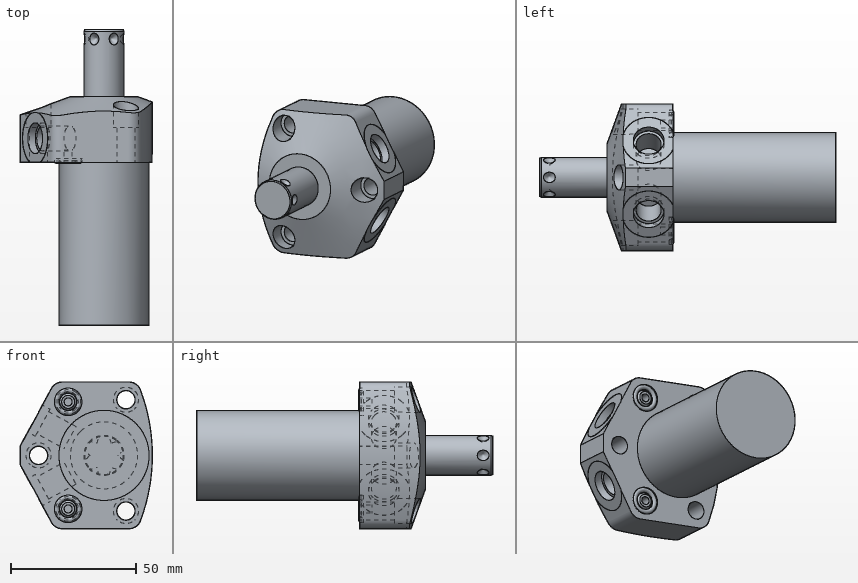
import cadquery as cq
import math


BODY_DIA = 36.0
BODY_LENGTH = 65.0
ROD_DIA = 16.0
ROD_LENGTH = 26.81
ROD_BEVEL_LENGTH = 0.8
ROD_BEVEL_HEIGHT = 0.35

DIMPLE_COUNT = 6
DIMPLE_RADIUS = 2.35
DIMPLE_FROM_TIP = 3.85

FLANGE_THICKNESS = 26.3
FLANGE_HEIGHT = 58.6
NOSE_X = -33.5
NOSE_FLAT_HEIGHT = 7.44
SHOULDER_X = -19.6
BACK_X = 19.33
BACK_ARC_RADIUS = 74.0
CORNER_RADIUS = 5.0

CROWN_RADIUS = 13.4
CROWN_SLOPE = math.radians(20)

MOUNT_HOLE_DIA = 7.2
MOUNT_COUNTERBORE_DIA = 10.0
MOUNT_COUNTERBORE_FLOOR_Y = 14.0
MOUNT_HOLE_CENTERS = [(-26.1, 0), (8.75, 22.2), (8.75, -22.2)]

PORT_Y = 9.65
PORT_Z = 14.7
PORT_SPOTFACE_DIA = 21.0
PORT_SPOTFACE_DEPTH = 0.1
PORT_COUNTERBORE_DIA = 12.3
PORT_COUNTERBORE_DEPTH = 3.5
PORT_BORE_DIA = 10.0
PORT_BORE_DEPTH = 15.9

SEAL_X = -14.3
SEAL_Z = 21.35
SEAL_RECESS_RADIUS = 5.5
SEAL_RECESS_DEPTH = 1.5
RING_SECTION_RADIUS = 1.0
RING_PROTRUSION = 0.4
SPIGOT_RADIUS = 3.4
SPIGOT_BEVEL = 0.8
SEAL_PASSAGE_RADIUS = 1.6
SEAL_PASSAGE_DEPTH = 5.0

AXIS = cq.Vector(0, 1, 0)
HALF_HEIGHT = FLANGE_HEIGHT / 2
ROD_TIP_Y = FLANGE_THICKNESS + ROD_LENGTH


def cylinder(radius, length, start, direction):
    """Cylinder growing from start along direction."""
    return cq.Workplane(cq.Solid.makeCylinder(radius, length, start, direction))


def flange_blank():
    """Six-sided plate with a bowed back and rounded outer corners."""
    back_sag = BACK_ARC_RADIUS - math.sqrt(BACK_ARC_RADIUS**2 - HALF_HEIGHT**2)
    back_corner_x = BACK_X - back_sag
    half_nose = NOSE_FLAT_HEIGHT / 2
    plate = (
        cq.Workplane("XZ")
        .moveTo(NOSE_X, -half_nose)
        .lineTo(SHOULDER_X, -HALF_HEIGHT)
        .lineTo(back_corner_x, -HALF_HEIGHT)
        .threePointArc((BACK_X, 0), (back_corner_x, HALF_HEIGHT))
        .lineTo(SHOULDER_X, HALF_HEIGHT)
        .lineTo(NOSE_X, half_nose)
        .close()
        .extrude(-FLANGE_THICKNESS)
    )
    outer_corners = plate.edges("|Y").edges(">Z or <Z")
    return plate.newObject(outer_corners.vals()).fillet(CORNER_RADIUS)


def crown_envelope():
    """Revolved envelope whose cone bevels the rod side of the flange."""
    reach = math.hypot(abs(NOSE_X), HALF_HEIGHT)
    rim_y = FLANGE_THICKNESS - (reach - CROWN_RADIUS) * math.tan(CROWN_SLOPE)
    return (
        cq.Workplane("XY")
        .lineTo(reach, 0)
        .lineTo(reach, rim_y)
        .lineTo(CROWN_RADIUS, FLANGE_THICKNESS)
        .lineTo(0, FLANGE_THICKNESS)
        .close()
        .revolve(360, (0, 0, 0), (0, 1, 0))
    )


def mount_holes():
    """Through holes with screw head counterbores."""
    centers = cq.Workplane("XZ").pushPoints(MOUNT_HOLE_CENTERS)
    holes = centers.circle(MOUNT_HOLE_DIA / 2).extrude(-FLANGE_THICKNESS)
    head_centers = cq.Workplane("XZ", origin=(0, MOUNT_COUNTERBORE_FLOOR_Y, 0)).pushPoints(MOUNT_HOLE_CENTERS)
    head_depth = FLANGE_THICKNESS - MOUNT_COUNTERBORE_FLOOR_Y
    heads = head_centers.circle(MOUNT_COUNTERBORE_DIA / 2).extrude(-head_depth)
    return holes.union(heads)


def port_cutter(side):
    """Stepped bore square to the slanted face; side is +1 above, -1 below."""
    run = SHOULDER_X - NOSE_X
    rise = HALF_HEIGHT - NOSE_FLAT_HEIGHT / 2
    face_x = NOSE_X + run * (PORT_Z - NOSE_FLAT_HEIGHT / 2) / rise
    mouth = cq.Vector(face_x, PORT_Y, side * PORT_Z)
    inward = cq.Vector(rise, 0, -side * run).normalized()
    spotface = cylinder(PORT_SPOTFACE_DIA / 2, PORT_SPOTFACE_DEPTH, mouth, inward)
    counterbore = cylinder(PORT_COUNTERBORE_DIA / 2, PORT_COUNTERBORE_DEPTH, mouth, inward)
    bore = cylinder(PORT_BORE_DIA / 2, PORT_BORE_DEPTH, mouth, inward)
    return spotface.union(counterbore).union(bore)


def add_seal(part, side):
    """Recess with a bevelled spigot, an O-ring around it and a blind passage."""
    center = cq.Vector(SEAL_X, 0, side * SEAL_Z)
    recess = cylinder(SEAL_RECESS_RADIUS, SEAL_RECESS_DEPTH, center, AXIS)
    spigot = cylinder(SPIGOT_RADIUS, SEAL_RECESS_DEPTH, center, AXIS).faces("<Y").chamfer(SPIGOT_BEVEL)
    passage = cylinder(SEAL_PASSAGE_RADIUS, SEAL_PASSAGE_DEPTH, center, AXIS)
    ring_center = center + AXIS * (RING_SECTION_RADIUS - RING_PROTRUSION)
    ring_radius = SEAL_RECESS_RADIUS - RING_SECTION_RADIUS
    ring = cq.Workplane(cq.Solid.makeTorus(ring_radius, RING_SECTION_RADIUS, ring_center, AXIS))
    return part.cut(recess.cut(spigot)).union(ring).cut(passage)


def piston_rod():
    """Rod with a slightly bevelled tip and a ring of conical dimples."""
    rod = cylinder(ROD_DIA / 2, ROD_LENGTH, cq.Vector(0, FLANGE_THICKNESS, 0), AXIS)
    rod = rod.faces(">Y").chamfer(ROD_BEVEL_LENGTH, ROD_BEVEL_HEIGHT)
    dimple_y = ROD_TIP_Y - DIMPLE_FROM_TIP
    for index in range(DIMPLE_COUNT):
        angle = 2 * math.pi * index / DIMPLE_COUNT
        outward = cq.Vector(math.cos(angle), 0, math.sin(angle))
        apex = outward * (ROD_DIA / 2 - DIMPLE_RADIUS) + AXIS * dimple_y
        cone_size = 2 * DIMPLE_RADIUS
        rod = rod.cut(cq.Workplane(cq.Solid.makeCone(0, cone_size, cone_size, apex, outward)))
    return rod


flange = flange_blank().intersect(crown_envelope()).cut(mount_holes())
for port_side in (1, -1):
    flange = flange.cut(port_cutter(port_side))
    flange = add_seal(flange, port_side)

body = cylinder(BODY_DIA / 2, BODY_LENGTH, cq.Vector(0, 0, 0), AXIS * -1)
result = flange.union(body).union(piston_rod())